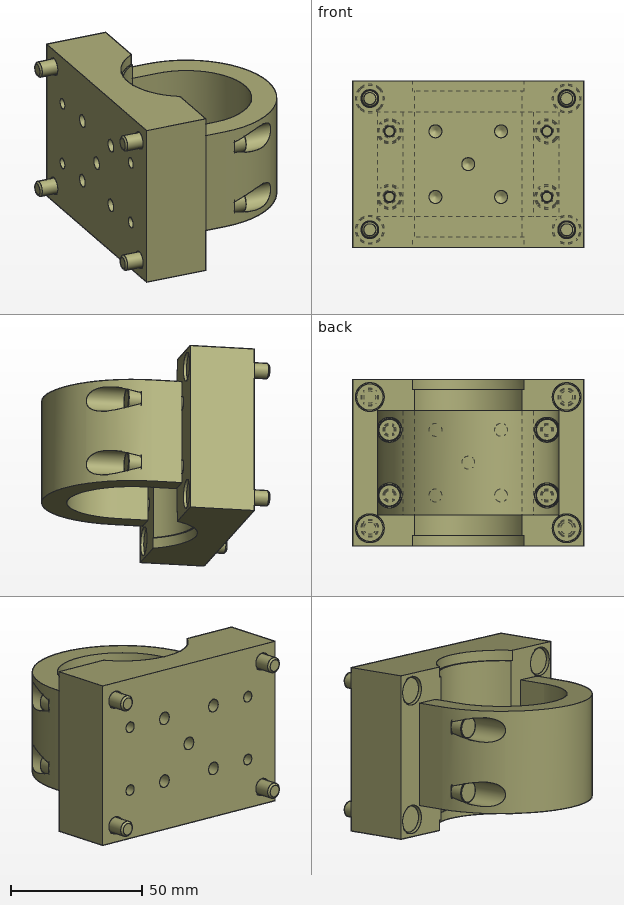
import cadquery as cq


bore_radius = 24.9
bow_radius = 34.5
bow_height = 39.8
bow_leg_end_y = -11.8

plate_width = 88.0
plate_height = 63.5
plate_thickness = 25.0
plate_back_y = -12.9
plate_front_y = plate_back_y - plate_thickness
saddle_radius = 24.2
saddle_relief_depth = 4.0
saddle_height = plate_height - 2 * saddle_relief_depth

mounting_hole_diameter = 4.9
mounting_hole_depth = 10.0
mounting_hole_pitch = 25.0
drill_tip_depth = 1.4

clamp_screw_spacing_x = 60.0
clamp_screw_spacing_z = 25.0
clamp_screw_diameter = 5.0
clamp_screw_tip_diameter = 3.6
clamp_screw_length = 35.0
clamp_head_diameter = 8.5
clamp_head_height = 5.0
clamp_head_chamfer = 0.3
head_recess_diameter = 9.5
head_seat_y = 4.0
clamp_tip_y = head_seat_y - clamp_screw_length
tapped_hole_diameter = 4.1

plate_screw_spacing_x = 75.0
plate_screw_spacing_z = 50.0
plate_screw_diameter = 6.0
plate_screw_tip_diameter = 4.6
plate_screw_hole_diameter = 6.8
plate_screw_protrusion = 7.0
plate_head_diameter = 10.0
plate_head_height = 6.0
plate_counterbore_diameter = 11.0
plate_counterbore_depth = 7.0
plate_seat_y = plate_back_y - plate_counterbore_depth
plate_tip_y = plate_front_y - plate_screw_protrusion


def rectangle_corners(spacing_x, spacing_z):
    """Return the (x, z) corners of a rectangle centred on the origin."""
    return [(sx * spacing_x / 2, sz * spacing_z / 2) for sx in (-1, 1) for sz in (-1, 1)]


clamp_screw_places = rectangle_corners(clamp_screw_spacing_x, clamp_screw_spacing_z)
plate_screw_places = rectangle_corners(plate_screw_spacing_x, plate_screw_spacing_z)
mounting_hole_places = rectangle_corners(mounting_hole_pitch, mounting_hole_pitch) + [(0, 0)]


def y_rod(place, diameter, y_start, y_end):
    """Return a round rod along Y, from y_start up to y_end, centred at place (x, z)."""
    x, z = place
    return cq.Workplane("XZ", origin=(x, y_start, z)).circle(diameter / 2).extrude(y_start - y_end)


def z_cylinder(radius, height):
    """Return a cylinder around the bore axis, centred in height."""
    return cq.Workplane("XY").circle(radius).extrude(height / 2, both=True)


def make_bow():
    """U-shaped clamp bow with recesses for the screw heads."""
    bow = (
        cq.Workplane("XY")
        .moveTo(-bow_radius, bow_leg_end_y)
        .lineTo(-bow_radius, 0)
        .threePointArc((0, bow_radius), (bow_radius, 0))
        .lineTo(bow_radius, bow_leg_end_y)
        .lineTo(bore_radius, bow_leg_end_y)
        .lineTo(bore_radius, 0)
        .threePointArc((0, bore_radius), (-bore_radius, 0))
        .lineTo(-bore_radius, bow_leg_end_y)
        .close()
        .extrude(bow_height / 2, both=True)
    )
    for place in clamp_screw_places:
        bow = bow.cut(y_rod(place, clamp_screw_diameter, bow_leg_end_y, head_seat_y))
        bow = bow.cut(y_rod(place, head_recess_diameter, head_seat_y, bow_radius))
    return bow


def make_mounting_hole(place):
    """Blind hole cutter with a conical drill tip, entering the plate front."""
    x, z = place
    hole_radius = mounting_hole_diameter / 2
    return (
        cq.Workplane("XY")
        .lineTo(hole_radius, 0)
        .lineTo(hole_radius, mounting_hole_depth)
        .lineTo(0, mounting_hole_depth + drill_tip_depth)
        .close()
        .revolve(360, (0, 0), (0, 1))
        .translate((x, plate_front_y, z))
    )


def make_plate():
    """Base plate with a round saddle, relieved at both ends, and all its holes."""
    plate = cq.Workplane("XY").box(plate_width, plate_thickness, plate_height)
    plate = plate.translate((0, plate_back_y - plate_thickness / 2, 0))
    plate = plate.cut(z_cylinder(saddle_radius, plate_height))
    saddle_reliefs = z_cylinder(bore_radius, plate_height).cut(z_cylinder(bore_radius, saddle_height))
    plate = plate.cut(saddle_reliefs)
    for place in clamp_screw_places:
        plate = plate.cut(y_rod(place, clamp_screw_diameter, clamp_tip_y, plate_back_y))
        plate = plate.cut(y_rod(place, tapped_hole_diameter, plate_front_y, clamp_tip_y))
    for place in plate_screw_places:
        plate = plate.cut(y_rod(place, plate_screw_hole_diameter, plate_front_y, plate_seat_y))
        plate = plate.cut(y_rod(place, plate_counterbore_diameter, plate_seat_y, plate_back_y))
    for place in mounting_hole_places:
        plate = plate.cut(make_mounting_hole(place))
    return plate


def make_shank(place, diameter, tip_diameter, tip_y, seat_y):
    """Screw shank from its chamfered tip up to the seat of the head."""
    shank = y_rod(place, diameter, tip_y, seat_y)
    return shank.faces("<Y").chamfer((diameter - tip_diameter) / 2)


def make_clamp_screw(place):
    """Cap screw that pulls the bow towards the plate."""
    shank = make_shank(place, clamp_screw_diameter, clamp_screw_tip_diameter, clamp_tip_y, head_seat_y)
    head = y_rod(place, clamp_head_diameter, head_seat_y, head_seat_y + clamp_head_height)
    head = head.faces(">Y").chamfer(clamp_head_chamfer)
    return shank.union(head)


def make_plate_screw(place):
    """Cap screw sunk in the plate back, with its tip standing out at the plate front."""
    shank = make_shank(place, plate_screw_diameter, plate_screw_tip_diameter, plate_tip_y, plate_seat_y)
    head = y_rod(place, plate_head_diameter, plate_seat_y, plate_seat_y + plate_head_height)
    return shank.union(head)


bow = make_bow()
plate = make_plate()
clamp_screws = [make_clamp_screw(place) for place in clamp_screw_places]
plate_screws = [make_plate_screw(place) for place in plate_screw_places]

bodies = [bow, plate, *clamp_screws, *plate_screws]
result = cq.Compound.makeCompound([body.val() for body in bodies])